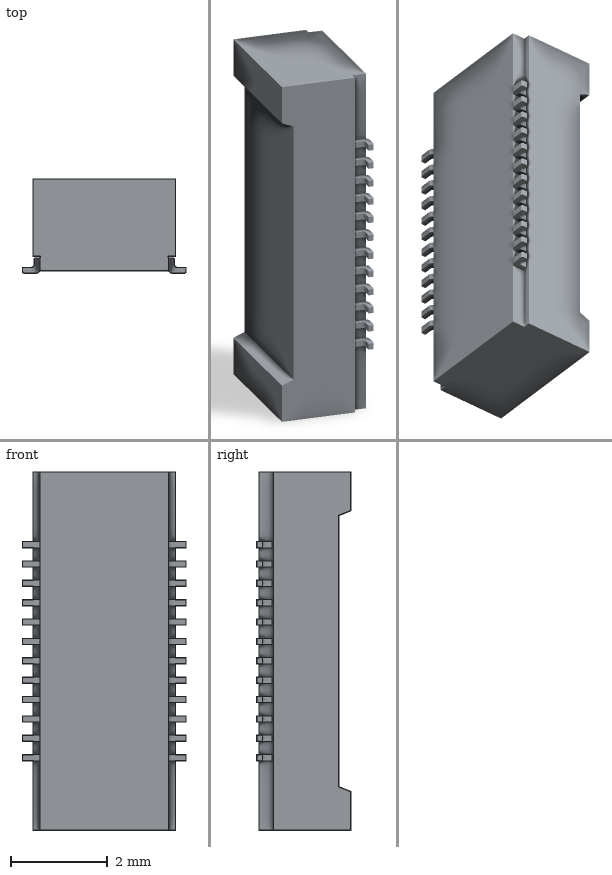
import cadquery as cq
import math

body_width = 2.95
body_depth = 1.90
body_height = 7.40
overall_width = 3.38
foot_standoff = 0.05

shoulder_inset = 0.15
shoulder_depth = 0.30

recess_depth = 0.25
end_wall_height = 0.80
recess_taper = 0.10

leads_per_side = 12
lead_pitch = 0.40
lead_width = 0.13
lead_thickness = 0.125
lead_top_gap = 0.03
inner_bend_radius = 0.05
outer_bend_radius = 0.09
top_round_radius = 0.04
tip_round_radius = 0.04

foot_face_y = -(body_depth + foot_standoff) / 2
mount_face_y = foot_face_y + foot_standoff
mating_face_y = mount_face_y + body_depth
shoulder_y = mount_face_y + shoulder_depth
lead_top_y = shoulder_y - lead_top_gap
half_height = body_height / 2
rib_half_width = body_width / 2 - shoulder_inset


def make_body():
    """Block with a narrower rib on the mounting side and a tapered recess opposite."""
    recess_floor_y = mating_face_y - recess_depth
    opening_z = half_height - end_wall_height
    floor_z = opening_z - recess_taper
    side_profile = [
        (mount_face_y, -half_height),
        (mating_face_y, -half_height),
        (mating_face_y, -opening_z),
        (recess_floor_y, -floor_z),
        (recess_floor_y, floor_z),
        (mating_face_y, opening_z),
        (mating_face_y, half_height),
        (mount_face_y, half_height),
    ]
    body = cq.Workplane("YZ").polyline(side_profile).close().extrude(body_width / 2, both=True)
    for side in (-1, 1):
        shoulder = cq.Workplane("XY").box(shoulder_inset, shoulder_depth, body_height).translate(
            (side * (rib_half_width + shoulder_inset / 2), mount_face_y + shoulder_depth / 2, 0)
        )
        body = body.cut(shoulder)
    return body


def make_lead():
    """One lead on the +X side, centred on Z = 0: a shank along the rib and a foot pointing outward."""
    shank_outer_x = rib_half_width + lead_thickness
    foot_top_y = foot_face_y + lead_thickness
    tip_x = overall_width / 2
    diagonal = math.sqrt(0.5)

    def arc_middle(center_x, center_y, radius, x_sign, y_sign):
        return (center_x + x_sign * radius * diagonal, center_y + y_sign * radius * diagonal)

    top_center = (shank_outer_x - top_round_radius, lead_top_y - top_round_radius)
    inner_center = (shank_outer_x + inner_bend_radius, foot_top_y + inner_bend_radius)
    tip_center = (tip_x - tip_round_radius, foot_face_y + tip_round_radius)
    outer_center = (rib_half_width + outer_bend_radius, foot_face_y + outer_bend_radius)
    return (
        cq.Workplane("XY")
        .moveTo(rib_half_width, lead_top_y)
        .lineTo(top_center[0], lead_top_y)
        .threePointArc(arc_middle(*top_center, top_round_radius, 1, 1), (shank_outer_x, top_center[1]))
        .lineTo(shank_outer_x, inner_center[1])
        .threePointArc(arc_middle(*inner_center, inner_bend_radius, -1, -1), (inner_center[0], foot_top_y))
        .lineTo(tip_x, foot_top_y)
        .lineTo(tip_x, tip_center[1])
        .threePointArc(arc_middle(*tip_center, tip_round_radius, 1, -1), (tip_center[0], foot_face_y))
        .lineTo(outer_center[0], foot_face_y)
        .threePointArc(arc_middle(*outer_center, outer_bend_radius, -1, -1), (rib_half_width, outer_center[1]))
        .close()
        .extrude(lead_width / 2, both=True)
    )


def add_leads(body):
    """Fuse both mirrored rows of leads to the body."""
    right_lead = make_lead()
    left_lead = right_lead.mirror("YZ")
    first_z = -lead_pitch * (leads_per_side - 1) / 2
    for index in range(leads_per_side):
        lead_z = first_z + index * lead_pitch
        body = body.union(right_lead.translate((0, 0, lead_z)))
        body = body.union(left_lead.translate((0, 0, lead_z)))
    return body


result = add_leads(make_body())